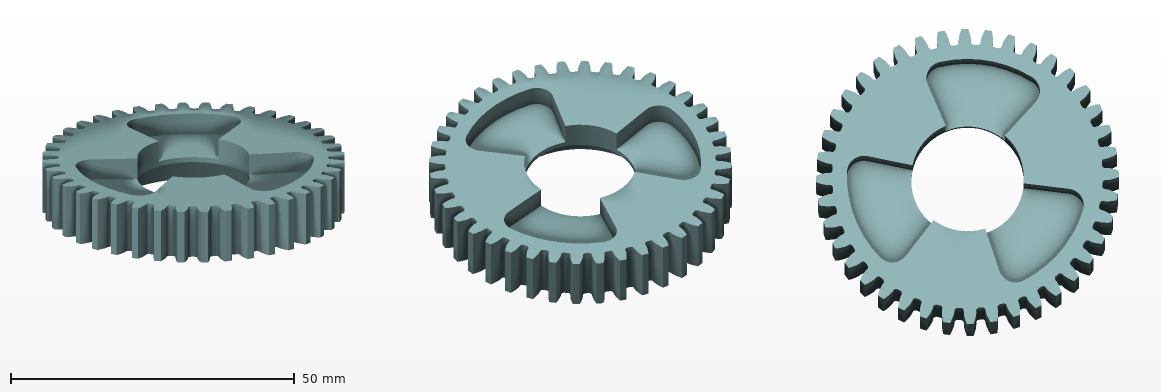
import cadquery as cq
import math

outer_width = 53.25
thickness = 9.55
tooth_count = 40
pressure_angle = math.radians(14.5)
dedendum_factor = 1.25
root_fillet = 0.55
flank_point_count = 7

bore_radius = 9.9
recess_radius = 14.0
recess_depth = thickness / 2

pocket_count = 3
pocket_first_angle = 30.0
pocket_span = 64.6
pocket_outer_radius = 21.25
pocket_corner_radius = 3.0
pocket_depth = 3.85


def involute(angle):
    """Involute function of a pressure angle in radians."""
    return math.tan(angle) - angle


pitch_angle = 2 * math.pi / tooth_count
tip_pressure_angle = math.acos(math.cos(pressure_angle) * tooth_count / (tooth_count + 2))
base_half_angle = pitch_angle / 4 + involute(pressure_angle)
tip_roll = math.tan(tip_pressure_angle)
tip_half_angle = base_half_angle - involute(tip_pressure_angle)

tip_radius = outer_width / 2 / math.cos(pitch_angle / 2 - tip_half_angle)
module = tip_radius / (tooth_count / 2 + 1)
pitch_radius = module * tooth_count / 2
base_radius = pitch_radius * math.cos(pressure_angle)
root_radius = pitch_radius - dedendum_factor * module

fillet_center_radius = root_radius + root_fillet
fillet_turn = math.asin(root_fillet / fillet_center_radius)
fillet_top_radius = fillet_center_radius * math.cos(fillet_turn)
root_start_angle = base_half_angle + fillet_turn


def polar(radius, angle):
    """Point at a radius and an angle in radians."""
    return (radius * math.cos(angle), radius * math.sin(angle))


def flank_points(center_angle, side):
    """Involute flank from base circle to tip; side is -1 or +1 about the tooth center."""
    points = []
    for i in range(flank_point_count):
        roll = tip_roll * i / (flank_point_count - 1)
        unrolled_angle = math.atan(roll)
        half_angle = base_half_angle - involute(unrolled_angle)
        points.append(polar(base_radius / math.cos(unrolled_angle), center_angle + side * half_angle))
    return points


def flank_direction(center_angle, side, roll):
    """Outward unit tangent of an involute flank at a roll angle; it is radial at the base circle."""
    return polar(1, center_angle + side * (base_half_angle - roll))


def fillet_middle(center_angle, side):
    """Midpoint of the root fillet on one side of a tooth."""
    fillet_center = polar(fillet_center_radius, center_angle + side * root_start_angle)
    toward_corner = center_angle + side * (base_half_angle + fillet_turn / 2 + math.pi * 5 / 4)
    offset = polar(root_fillet, toward_corner)
    return (fillet_center[0] + offset[0], fillet_center[1] + offset[1])


def add_tooth(outline, angle):
    """Draw one tooth and the root arc after it, counterclockwise."""
    rising = flank_points(angle, -1)
    falling = flank_points(angle, 1)[::-1]
    rising_tangents = [flank_direction(angle, -1, roll) for roll in (0, tip_roll)]
    falling_tangents = [(-x, -y) for x, y in (flank_direction(angle, 1, roll) for roll in (tip_roll, 0))]
    next_root_end = angle + pitch_angle - root_start_angle
    return (
        outline
        .threePointArc(fillet_middle(angle, -1), polar(fillet_top_radius, angle - base_half_angle))
        .lineTo(*rising[0])
        .spline(rising[1:], tangents=rising_tangents, includeCurrent=True)
        .threePointArc(polar(tip_radius, angle), falling[0])
        .spline(falling[1:], tangents=falling_tangents, includeCurrent=True)
        .lineTo(*polar(fillet_top_radius, angle + base_half_angle))
        .threePointArc(fillet_middle(angle, 1), polar(root_radius, angle + root_start_angle))
        .threePointArc(polar(root_radius, angle + pitch_angle / 2), polar(root_radius, next_root_end))
    )


def gear_blank():
    """Solid spur gear with radial flanks below the base circle and rounded roots."""
    first_angle = pitch_angle / 2
    outline = cq.Workplane("XY").moveTo(*polar(root_radius, first_angle - root_start_angle))
    for i in range(tooth_count):
        outline = add_tooth(outline, first_angle + i * pitch_angle)
    return outline.close().extrude(thickness)


def pocket(direction):
    """Sector-shaped cutter with radial sides and rounded outer corners."""
    half_span = math.radians(pocket_span / 2)
    return (
        cq.Workplane("XY", origin=(0, 0, thickness - pocket_depth))
        .lineTo(*polar(pocket_outer_radius, -half_span))
        .threePointArc((pocket_outer_radius, 0), polar(pocket_outer_radius, half_span))
        .close()
        .extrude(pocket_depth)
        .edges("|Z and (>Y or <Y)")
        .fillet(pocket_corner_radius)
        .rotate((0, 0, 0), (0, 0, 1), direction)
    )


bore = cq.Workplane("XY").circle(bore_radius).extrude(thickness)
recess = cq.Workplane("XY").circle(recess_radius).extrude(recess_depth)

result = gear_blank().cut(bore).cut(recess)
for i in range(pocket_count):
    result = result.cut(pocket(pocket_first_angle + i * 360 / pocket_count))